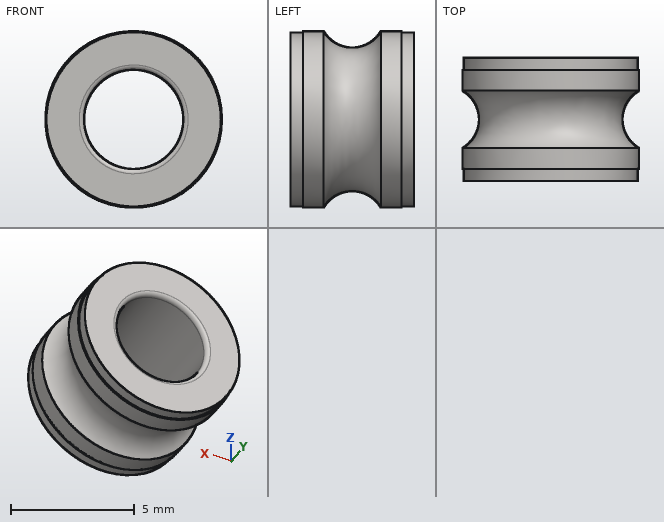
import cadquery as cq

outer_diameter = 7.15
width = 5.0
end_step_diameter = 7.05
end_step_width = 0.5
bore_diameter = 4.005
bore_edge_radius = 0.2
groove_width = 2.32
groove_root_diameter = 5.82

outer_radius = outer_diameter / 2
end_step_radius = end_step_diameter / 2
bore_radius = bore_diameter / 2
groove_root_radius = groove_root_diameter / 2
half_width = width / 2
half_groove = groove_width / 2
step_position = half_width - end_step_width


def make_roller():
    """Revolve the half section, with its stepped ends and round groove, about Y."""
    return (
        cq.Workplane("XY")
        .moveTo(bore_radius, -half_width)
        .lineTo(end_step_radius, -half_width)
        .lineTo(end_step_radius, -step_position)
        .lineTo(outer_radius, -step_position)
        .lineTo(outer_radius, -half_groove)
        .threePointArc((groove_root_radius, 0), (outer_radius, half_groove))
        .lineTo(outer_radius, step_position)
        .lineTo(end_step_radius, step_position)
        .lineTo(end_step_radius, half_width)
        .lineTo(bore_radius, half_width)
        .close()
        .revolve(360, (0, 0, 0), (0, 1, 0))
    )


def round_bore_edges(roller):
    """Round the bore rim on both end faces."""
    rim_selector = cq.selectors.RadiusNthSelector(0)
    return roller.faces("<Y or >Y").edges(rim_selector).fillet(bore_edge_radius)


result = round_bore_edges(make_roller())